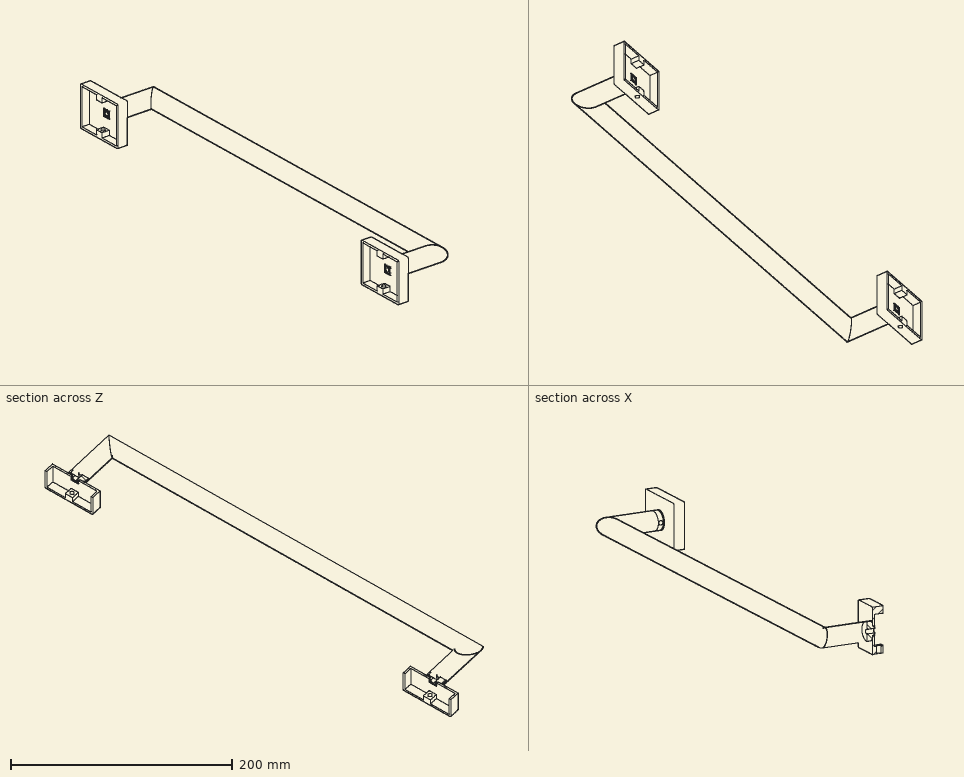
import cadquery as cq

overall_length = 466.0
overall_projection = 71.0

plate_width = 55.0
plate_height = 45.0
plate_depth = 11.0
plate_wall = 2.3
plate_floor = 2.5
plate_corner_radius = 1.2
tab_width = 8.3
tab_reach = 7.5
lock_hole_diameter = 4.0
lock_hole_y = 4.5

tube_diameter = 19.0
tube_wall = 0.5
bore_diameter = tube_diameter - 2 * tube_wall

plug_end_y = 17.0
plug_chamfer = 1.0
shank_width = 8.3
shank_chamfer = 1.2
plug_bore_diameter = 4.0
set_screw_diameter = 4.2

leg_x = (overall_length - plate_width) / 2
rail_y = overall_projection - tube_diameter / 2
floor_y = plate_depth - plate_floor
leg_positions = (-leg_x, leg_x)


def box_between(x_size, z_size, y_start, y_end):
    """Box centred on the Y axis, running from y_start to y_end."""
    return cq.Workplane("XY").box(x_size, y_end - y_start, z_size).translate((0, (y_start + y_end) / 2, 0))


def cylinder_between(diameter, y_start, y_end):
    """Cylinder on the Y axis, running from y_start to y_end."""
    return (
        cq.Workplane("XZ", origin=(0, y_start, 0))
        .circle(diameter / 2)
        .extrude(-(y_end - y_start))
    )


def make_plate():
    """Wall plate with a locating tab on its top and bottom wall and a square centre hole."""
    block = box_between(plate_width, plate_height, 0, plate_depth).edges("|Y").fillet(plate_corner_radius)
    cavity = box_between(plate_width - 2 * plate_wall, plate_height - 2 * plate_wall, 0, floor_y)
    tab_gap = box_between(tab_width, plate_height - 2 * tab_reach, 0, floor_y)
    tab_column = box_between(tab_width, plate_height, 0, floor_y)
    tabs = tab_column.cut(tab_gap)
    shank_hole = box_between(shank_width, shank_width, floor_y, plate_depth)
    lock_hole = (
        cq.Workplane("XY", origin=(0, lock_hole_y, -plate_height / 2))
        .circle(lock_hole_diameter / 2)
        .extrude(tab_reach)
    )
    return block.cut(cavity.cut(tabs)).cut(shank_hole).cut(lock_hole)


def make_plug():
    """Round plug inside the leg, with a square shank that fills the hole in the plate."""
    head = cylinder_between(bore_diameter, plate_depth, plug_end_y).faces("<Y").chamfer(plug_chamfer)
    shank = box_between(shank_width, shank_width, floor_y, plate_depth).faces("<Y").chamfer(shank_chamfer)
    bore = cylinder_between(plug_bore_diameter, floor_y, plug_end_y)
    set_screw_y = (plate_depth + plug_chamfer + plug_end_y) / 2
    set_screw_hole = (
        cq.Workplane("YZ", origin=(-tube_diameter / 2, set_screw_y, 0))
        .circle(set_screw_diameter / 2)
        .extrude(tube_diameter / 2)
    )
    return head.union(shank).cut(bore).cut(set_screw_hole)


def mitre_region():
    """Prism holding everything on the rail's side of the two 45 degree mitre planes."""
    tip_x = leg_x + tube_diameter
    tip_y = rail_y + tube_diameter
    return (
        cq.Workplane("XY", origin=(0, 0, -tube_diameter))
        .polyline([(-tip_x, tip_y), (tip_x, tip_y), (tip_x - tip_y, 0), (tip_y - tip_x, 0)])
        .close()
        .extrude(2 * tube_diameter)
    )


def make_rail():
    """Horizontal tube along X, mitred at both ends."""
    start_x = -leg_x - tube_diameter
    blank = (
        cq.Workplane("YZ", origin=(start_x, rail_y, 0))
        .circle(tube_diameter / 2)
        .circle(bore_diameter / 2)
        .extrude(-2 * start_x)
    )
    return blank.intersect(mitre_region())


def make_leg(x):
    """Tube along Y from a plate to the rail, mitred at the rail."""
    tube_end_y = rail_y + tube_diameter
    blank = cylinder_between(tube_diameter, plate_depth, tube_end_y)
    bore = cylinder_between(bore_diameter, plate_depth, tube_end_y)
    return blank.cut(bore).translate((x, 0, 0)).cut(mitre_region())


bodies = [make_rail().val()]
for x in leg_positions:
    bodies.append(make_leg(x).val())
    bodies.append(make_plate().translate((x, 0, 0)).val())
    bodies.append(make_plug().translate((x, 0, 0)).val())

result = cq.Compound.makeCompound(bodies)